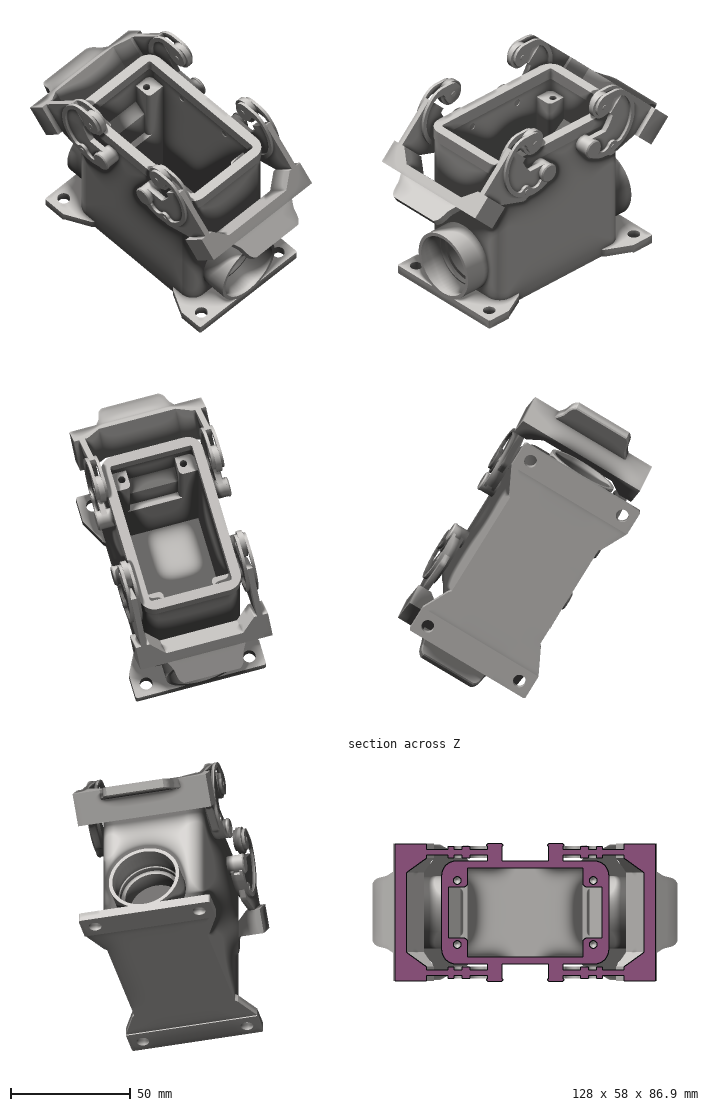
import cadquery as cq
import math


body_half_x = 35.2
body_half_y = 21.8
body_corner = 6.3
body_bottom = 0.5
collar_bottom = 67.6
collar_top = 73.0
collar_step = 0.4

cavity_half_x = 31.4
cavity_half_y = 17.9
cavity_corner = 1.0
undercut = 0.8
undercut_corner = 2.5
floor_top = 4.0
ledge_inner_x = 24.0
ledge_top = 33.3
ramp_inner_x = 27.0
ramp_bottom = 46.3
ramp_top = 50.3
post_inner_x = 24.0
post_inner_y = 10.6
post_top = 61.3
post_corner = 1.9
post_hole_radius = 1.5
post_hole_depth = 12.8
post_hole_tip = 0.9
post_hole_x = 28.5
post_hole_y = 13.5

flange_half_x = 46.8
flange_half_y = 28.4
flange_top = 4.0
flange_corner = 0.9
pad_inner_x = 35.7
flange_root_x = 23.5
flange_root_bevel = 1.0
mount_hole_x = 41.5
mount_hole_y = 22.5
mount_hole_radius = 2.7

entry_z = 17.7
entry_radius = 15.2
entry_mouth_radius = 13.7
entry_mouth_end_x = 36.1
entry_bore_radius = 13.0
entry_bore_end_x = 33.8
entry_inner_radius = 11.4
entry_inner_end_x = 25.6

peg_x = -12.8
peg_z = 63.5
peg_radius = 4.0
peg_head_radius = 4.2
peg_head_chamfer = 0.5
peg_span = 58.0
peg_dimple_radius = 1.5
peg_dimple_depth = 0.3
peg_start_y = cavity_half_y + undercut + peg_dimple_depth

core_inner_y = 24.0
core_outer_y = 26.5
rim_thickness = 1.3
hook_x = -21.1
hook_z = 72.2
hook_radius = 16.0
hook_inner_radius = 14.1
lever_top = 86.9
neck_bottom = 83.3
neck_left_x = -29.2
neck_bend_radius = 9.0
roller_x = -19.8
roller_radius = 5.6
roller_z = lever_top - roller_radius
roller_rim_radius = 4.2
latch_pin_x = -24.8
latch_pin_z = 59.1
latch_boss_radius = 2.7
rim_left_dip = (-28.5, 60.4)
rim_right_dip = (-20.0, 58.9)
rim_end = (-16.8, 60.5)
pin_radius = 1.2
pin_projection = 0.3
jaw_length = 9.5
jaw_notch = (-25.7, 73.9)
jaw_curve_middle = (-23.7, 70.0)
jaw_curve_end = (-21.6, 67.5)
core_heel = (-24.8, 53.8)
core_heel_radius = 2.5

bar_half_y = 28.8
bar_length = 10.4
bar_depth = 13.8
bar_web = 4.5
bar_cut_half_y = 16.8
bar_cut_mouth_half_y = 22.8
lever_reach = 32.5
tab_angle = 33.0
tab_thickness = 4.1
tab_edge = 0.5
tab_tip_half_y = 12.3
tab_end_x = -64.0
tab_root_length = 3.8
tab_root_half_y = 18.7
tab_flare_half_y = 17.0
tab_waist = (3.6, 15.2)
tab_shoulder = (7.5, 14.3)

SIN45 = math.sqrt(0.5)


def on_circle(center_x, center_z, radius, degrees):
    angle = math.radians(degrees)
    return (center_x + radius * math.cos(angle), center_z + radius * math.sin(angle))


def on_hook(radius, degrees):
    return on_circle(hook_x, hook_z, radius, degrees)


def on_latch_boss(degrees):
    return on_circle(latch_pin_x, latch_pin_z, latch_boss_radius, degrees)


def block(half_x, half_y, z_low, z_high, corner):
    height = z_high - z_low
    base = cq.Workplane("XY", origin=(0, 0, z_low)).rect(2 * half_x, 2 * half_y)
    return base.extrude(height).edges("|Z").fillet(corner)


def front_plane(y):
    return cq.Workplane("XZ", origin=(0, y, 0))


def disc(x, z, radius, y_low, y_high):
    return front_plane(y_low).center(x, z).circle(radius).extrude(y_low - y_high)


def with_mirror(shape, plane):
    return shape.union(shape.mirror(plane))


def in_four_corners(shape):
    return with_mirror(with_mirror(shape, "YZ"), "XZ")


def flange():
    """Left mounting flange, tapering from its full width back to the body sides."""
    half_outline = [
        (-pad_inner_x, -flange_half_y),
        (-flange_root_x - flange_root_bevel, -body_half_y - flange_root_bevel),
        (-flange_root_x, -body_half_y),
    ]
    other_half = [(x, -y) for x, y in reversed(half_outline)]
    corners = [(-flange_half_x, -flange_half_y)] + half_outline
    corners += other_half + [(-flange_half_x, flange_half_y)]
    plate = cq.Workplane("XY").polyline(corners).close().extrude(flange_top)
    plate = plate.edges("|Z and <X").fillet(flange_corner)
    relief = cq.Workplane("XY").box(
        pad_inner_x, 2 * flange_half_y, body_bottom, centered=(False, True, False)
    ).translate((-pad_inner_x, 0, 0))
    return plate.cut(relief)


def cavity():
    """Inner space, leaving the ramped end blocks and the four screw posts."""
    wide_half_x = cavity_half_x + undercut
    wide_half_y = cavity_half_y + undercut
    mouth = block(cavity_half_x, cavity_half_y, floor_top, collar_top, cavity_corner)
    space = block(wide_half_x, wide_half_y, floor_top, collar_bottom, undercut_corner)
    end_block = front_plane(-wide_half_y).polyline([
        (ledge_inner_x, floor_top),
        (ledge_inner_x, ledge_top),
        (ramp_inner_x, ledge_top),
        (ramp_inner_x, ramp_bottom),
        (wide_half_x, ramp_top),
        (wide_half_x, floor_top),
    ]).close().extrude(-2 * wide_half_y)
    post = cq.Workplane("XY", origin=(post_inner_x, post_inner_y, floor_top)).rect(
        wide_half_x - post_inner_x, wide_half_y - post_inner_y, centered=False
    ).extrude(post_top - floor_top).edges("|Z and <X and <Y").fillet(post_corner)
    space = space.union(mouth)
    return space.cut(with_mirror(end_block, "YZ")).cut(in_four_corners(post))


def entry_bore():
    """Blind stepped bore of the left cable entry, turned about its axis."""
    profile = [
        (-flange_half_x, 0),
        (-flange_half_x, entry_mouth_radius),
        (-entry_mouth_end_x, entry_mouth_radius),
        (-entry_mouth_end_x, entry_bore_radius),
        (-entry_bore_end_x, entry_bore_radius),
        (-entry_bore_end_x, entry_inner_radius),
        (-entry_inner_end_x, entry_inner_radius),
        (-entry_inner_end_x, 0),
    ]
    turned = cq.Workplane("XZ").polyline(profile).close().revolve(360, (0, 0, 0), (1, 0, 0))
    return turned.translate((0, 0, entry_z))


def housing():
    body = block(body_half_x, body_half_y, body_bottom, collar_bottom, body_corner)
    collar = block(
        body_half_x + collar_step, body_half_y + collar_step,
        collar_bottom, collar_top, body_corner + collar_step,
    )
    entries = cq.Workplane("YZ", origin=(-flange_half_x, 0, entry_z)).circle(entry_radius)
    entries = entries.extrude(2 * flange_half_x)
    shell = body.union(collar).union(entries).union(with_mirror(flange(), "YZ"))
    shell = shell.cut(cavity()).cut(with_mirror(entry_bore(), "YZ"))

    post_hole = cq.Workplane("XZ").polyline([
        (0, post_top),
        (post_hole_radius, post_top),
        (post_hole_radius, post_top - post_hole_depth),
        (0, post_top - post_hole_depth - post_hole_tip),
    ]).close().revolve(360, (0, 0, 0), (0, 1, 0)).translate((post_hole_x, post_hole_y, 0))
    mount_hole = cq.Workplane("XY", origin=(mount_hole_x, mount_hole_y, 0))
    mount_hole = mount_hole.circle(mount_hole_radius).extrude(flange_top)
    dimple = disc(peg_x, peg_z, peg_dimple_radius, cavity_half_y, peg_start_y)
    return shell.cut(in_four_corners(post_hole.union(mount_hole).union(dimple)))


hook_tangent = on_hook(hook_radius, 135)
jaw_start = on_hook(hook_inner_radius, 135)
bend_x = hook_tangent[0] + (lever_top - hook_tangent[1])
bend_setback = neck_bend_radius * math.tan(math.radians(22.5))
bend_start = (bend_x - bend_setback * SIN45, lever_top - bend_setback * SIN45)
bend_end = (bend_x + bend_setback, lever_top)
bend_middle = on_circle(bend_end[0], lever_top - neck_bend_radius, neck_bend_radius, 112.5)

bar_outer = (
    hook_tangent[0] - lever_reach * SIN45,
    hook_tangent[1] - lever_reach * SIN45,
)


def bar_point(along, deep):
    """Point at a distance along the lever's back edge and a depth square to it."""
    return (
        bar_outer[0] + (along + deep) * SIN45,
        bar_outer[1] + (along - deep) * SIN45,
    )


def arm_core():
    """Flat plate of the arm around the pivot peg, and the separate roller above it."""
    jaw_end = (jaw_start[0] + jaw_length * SIN45, jaw_start[1] - jaw_length * SIN45)
    plate = (
        front_plane(core_inner_y)
        .moveTo(*bar_point(bar_length, 0))
        .lineTo(*hook_tangent)
        .lineTo(*jaw_end)
        .lineTo(*jaw_notch)
        .threePointArc(jaw_curve_middle, jaw_curve_end)
        .lineTo(peg_x, jaw_curve_end[1])
        .lineTo(peg_x, peg_z)
        .lineTo(*on_hook(hook_radius, 300))
        .threePointArc(on_hook(hook_radius, 285), on_hook(hook_radius, 270))
        .lineTo(*core_heel)
        .lineTo(*bar_point(bar_length, bar_depth))
        .close()
        .extrude(core_inner_y - core_outer_y)
    )
    plate = plate.edges("|Y and <Z").fillet(core_heel_radius)
    plate = plate.union(disc(peg_x, peg_z, peg_radius, core_inner_y, core_outer_y))
    roller = disc(roller_x, roller_z, roller_radius, core_inner_y, core_outer_y)
    return plate.union(roller)


def rim_layer(y_low, y_high):
    """Hook-shaped band on one face of the core plate, holding one side of the roller."""
    nose_x = roller_x + roller_rim_radius
    nose_center_x = nose_x - roller_radius
    return (
        front_plane(y_low)
        .moveTo(*bend_end)
        .lineTo(nose_center_x, lever_top)
        .threePointArc(
            on_circle(nose_center_x, roller_z, roller_radius, 45), (nose_x, roller_z)
        )
        .threePointArc(
            (roller_x, roller_z - roller_rim_radius), (roller_x - roller_rim_radius, roller_z)
        )
        .lineTo(roller_x - roller_radius, neck_bottom)
        .lineTo(neck_left_x, neck_bottom)
        .lineTo(*jaw_start)
        .threePointArc(on_hook(hook_inner_radius, 190), on_hook(hook_inner_radius, 232))
        .threePointArc(rim_left_dip, on_latch_boss(145))
        .threePointArc(on_latch_boss(90), on_latch_boss(30))
        .threePointArc(rim_right_dip, rim_end)
        .lineTo(peg_x, peg_z)
        .lineTo(*on_hook(hook_radius, 305))
        .threePointArc(on_hook(hook_radius, 215), hook_tangent)
        .lineTo(*bend_start)
        .threePointArc(bend_middle, bend_end)
        .close()
        .extrude(y_low - y_high)
    )


def arm_rim():
    """Two rim layers and the pins through them, with the neck gap left open between."""
    y_low = core_inner_y - rim_thickness
    y_high = core_outer_y + rim_thickness
    rim = rim_layer(y_low, core_inner_y).union(rim_layer(core_outer_y, y_high))
    for pin_x, pin_z in [(roller_x, roller_z), (latch_pin_x, latch_pin_z)]:
        pin = disc(pin_x, pin_z, pin_radius, y_low - pin_projection, y_high + pin_projection)
        rim = rim.union(pin)
    return rim


def pivot_peg():
    """Peg through the body wall that carries one arm, with a chamfered head."""
    head_start_y = core_outer_y + rim_thickness
    shank = disc(peg_x, peg_z, peg_radius, peg_start_y, head_start_y)
    head = disc(peg_x, peg_z, peg_head_radius, head_start_y, peg_span / 2)
    return shank.union(head.faces(">Y").chamfer(peg_head_chamfer))


def handle_bar():
    """Bar joining both arms, with a trapezoid cut-out facing the housing."""
    corners = [
        bar_point(0, 0),
        bar_point(bar_length, 0),
        bar_point(bar_length, bar_depth),
        bar_point(0, bar_depth),
    ]
    bar = front_plane(-bar_half_y).polyline(corners).close().extrude(-2 * bar_half_y)
    back_face = cq.Plane(
        origin=(bar_outer[0], 0, bar_outer[1]), xDir=(1, 0, 1), normal=(1, 0, -1)
    )
    cut_out = cq.Workplane(back_face).polyline([
        (bar_web, -bar_cut_half_y),
        (bar_length, -bar_cut_mouth_half_y),
        (bar_length, bar_cut_mouth_half_y),
        (bar_web, bar_cut_half_y),
    ]).close().extrude(bar_depth)
    return bar.cut(cut_out)


def thumb_tab():
    """Sloping tab on the outer end of the bar, flaring out where it joins."""
    slope = math.radians(tab_angle)
    length = (bar_outer[0] - tab_end_x) / math.cos(slope)
    top_face = cq.Plane(
        origin=(bar_outer[0], 0, bar_outer[1]),
        xDir=(-math.cos(slope), 0, -math.sin(slope)),
        normal=(math.sin(slope), 0, -math.cos(slope)),
    )
    half = cq.Workplane(top_face).polyline([
        (-tab_root_length, 0),
        (-tab_root_length, tab_root_half_y),
    ]).spline(
        [(0.0, tab_flare_half_y), tab_waist, tab_shoulder, (length, tab_tip_half_y)],
        includeCurrent=True,
    ).lineTo(length, 0).close().extrude(tab_thickness)
    tab = with_mirror(half, "XZ")
    return tab.faces(cq.DirectionMinMaxSelector(top_face.zDir, True)).edges().chamfer(tab_edge)


def lever():
    arm = arm_core().union(arm_rim()).union(pivot_peg())
    return with_mirror(arm, "XZ").union(handle_bar()).union(thumb_tab())


result = housing().union(with_mirror(lever(), "YZ"))